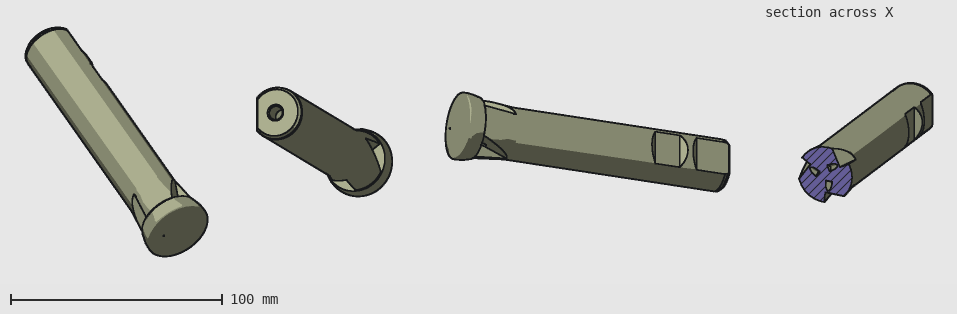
import cadquery as cq
import math

total_length = 136.0
shank_radius = 25.0 / 2
lead_radius = 24.7 / 2
end_face_radius = 11.2
lead_chamfer_length = 1.4
lead_length = 2.6
flare_start = 109.2
head_start = 126.5
flare_end_radius = 14.3

head_rear_radius = 14.8
head_radius = 32.01 / 2
head_side_mid = (129.6, 15.7)
head_side_end = 132.7
rim_x = 134.9
rim_fillet = 0.8
front_face_x = 135.6
front_face_radius = 12.5
front_face_fillet = 4.1

tip_y = -7.9
tip_z = 1.5
tip_base_radius = 0.4
tip_embed = 0.1

flat_y = 9.5
flat_chamfer = 0.8
rear_flat_end = 17.1
middle_flat_start = 25.7
middle_flat_end = 38.1

bore_diameter = 6.5
bore_mouth_diameter = 7.9
bore_depth = 10.9
drill_point_angle = 118.0

pocket_count = 3
first_pocket_angle = 30.0
pocket_tip = cq.Vector(109.9, 12.5, -0.88)
pocket_corner = cq.Vector(head_start, 6.8, 0.7)
pocket_wall_rim = cq.Vector(head_start, flare_end_radius, -0.1)
pocket_floor_rim = cq.Vector(head_start, 8.0, 11.8)
pocket_overshoot = 2.0
tip_overshoot = 1.3

coolant_diameter = 3.0
coolant_depth = 5.5
coolant_x = 122.7
coolant_offset = 1.1


def turned_body():
    return (
        cq.Workplane("XY")
        .moveTo(0, 0)
        .lineTo(0, end_face_radius)
        .lineTo(lead_chamfer_length, lead_radius)
        .lineTo(lead_length, lead_radius)
        .lineTo(lead_length, shank_radius)
        .lineTo(flare_start, shank_radius)
        .lineTo(head_start, flare_end_radius)
        .lineTo(head_start, head_rear_radius)
        .threePointArc(head_side_mid, (head_side_end, head_radius))
        .lineTo(rim_x, head_radius)
        .lineTo(front_face_x, front_face_radius)
        .lineTo(front_face_x, 0)
        .close()
        .revolve(360, (0, 0, 0), (1, 0, 0))
    )


def circle_at(x, radius):
    """Selector for the circular edge of the given radius that stands at x on the X axis."""
    margin = 0.1
    return cq.selectors.BoxSelector(
        (x - margin, -radius - margin, -radius - margin),
        (x + margin, radius + margin, radius + margin),
        boundingbox=True,
    )


def round_front(body):
    return (
        body.edges("%CIRCLE").edges(circle_at(rim_x, head_radius)).fillet(rim_fillet)
        .edges("%CIRCLE").edges(circle_at(front_face_x, front_face_radius)).fillet(front_face_fillet)
    )


def front_tip():
    base_x = front_face_x - tip_embed
    cone = cq.Solid.makeCone(
        tip_base_radius, 0, total_length - base_x, cq.Vector(base_x, tip_y, tip_z), cq.Vector(1, 0, 0)
    )
    return cq.Workplane("XY").add(cone)


def clamping_flats():
    """Two flats with 45 degree run-outs, cut across the full width of the shank."""
    top_y = shank_radius + 1.4
    rise = top_y - flat_y
    rear = [
        (0, top_y),
        (0, flat_y - flat_chamfer),
        (flat_chamfer, flat_y),
        (rear_flat_end, flat_y),
        (rear_flat_end + rise, top_y),
    ]
    middle = [
        (middle_flat_start - rise, top_y),
        (middle_flat_start, flat_y),
        (middle_flat_end, flat_y),
        (middle_flat_end + rise, top_y),
    ]
    cutter = cq.Workplane("XY")
    for outline in (rear, middle):
        flat = cq.Workplane("XY").polyline(outline).close().extrude(shank_radius, both=True)
        cutter = cutter.add(flat)
    return cutter.combine()


def centre_hole():
    """Blind hole with a conical bottom and a 45 degree countersunk mouth."""
    radius = bore_diameter / 2
    mouth_radius = bore_mouth_diameter / 2
    point_length = radius / math.tan(math.radians(drill_point_angle / 2))
    outline = [
        (0, 0),
        (0, mouth_radius),
        (mouth_radius - radius, radius),
        (bore_depth, radius),
        (bore_depth + point_length, 0),
    ]
    return cq.Workplane("XY").polyline(outline).close().revolve(360, (0, 0, 0), (1, 0, 0))


def tetrahedron(corners):
    faces = []
    for skipped in corners:
        triangle = [corner for corner in corners if corner is not skipped]
        faces.append(cq.Face.makeFromWires(cq.Wire.makePolygon(triangle, close=True)))
    return cq.Solid.makeSolid(cq.Shell.makeShell(faces))


def chip_pocket():
    """Wedge with a flat wall and a flat floor that meet along a sloping corner line."""
    corner_line = pocket_tip - pocket_corner
    wall_line = pocket_wall_rim - pocket_corner
    floor_line = pocket_floor_rim - pocket_corner
    wedge = tetrahedron([
        pocket_corner,
        pocket_corner + corner_line * tip_overshoot,
        pocket_corner + wall_line * pocket_overshoot,
        pocket_corner + floor_line * pocket_overshoot,
    ])
    inward = corner_line.cross(floor_line).normalized()
    if inward.y > 0:
        inward = inward * -1
    corner_fraction = (head_start - coolant_x) / (head_start - pocket_tip.x)
    hole_centre = (
        pocket_corner + corner_line * corner_fraction + floor_line.normalized() * coolant_offset
    )
    hole = cq.Solid.makeCylinder(coolant_diameter / 2, coolant_depth, hole_centre, inward)
    return cq.Workplane("XY").add(wedge).union(cq.Workplane("XY").add(hole))


result = round_front(turned_body()).union(front_tip())
result = result.cut(clamping_flats()).cut(centre_hole())
pocket = chip_pocket()
for index in range(pocket_count):
    angle = first_pocket_angle + index * 360 / pocket_count
    result = result.cut(pocket.rotate((0, 0, 0), (1, 0, 0), angle))